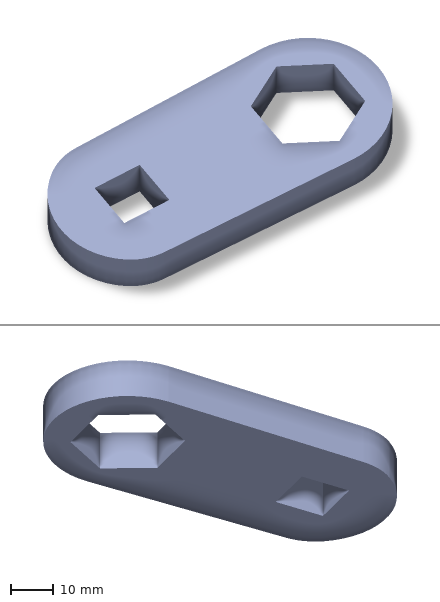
import cadquery as cq
import math

length = 89.9
width = 40.0
thickness = 10.0
square_end_half_width = 19.1
blend_radius = 15.0
hex_across_flats = 23.5
square_side = 12.8

end_radius = width / 2
centre_distance = length - 2 * end_radius
hex_corner_diameter = hex_across_flats / math.cos(math.pi / 6)

taper = math.atan2(end_radius - square_end_half_width, centre_distance)
normal_x = math.cos(taper)
normal_y = -math.sin(taper)

centre_across = square_end_half_width * math.cos(taper) - blend_radius
centre_to_centre = end_radius - blend_radius
centre_along = math.sqrt(centre_to_centre**2 - centre_across**2)
blend_x = centre_across * normal_x + centre_along * normal_y
blend_y = -centre_distance + centre_across * normal_y - centre_along * normal_x

side_end = (blend_x + blend_radius * normal_x, blend_y + blend_radius * normal_y)
end_angle = math.atan2(blend_y + centre_distance, blend_x)
end_start = (
    end_radius * math.cos(end_angle),
    -centre_distance + end_radius * math.sin(end_angle),
)
blend_mid_angle = (end_angle - taper) / 2
blend_mid = (
    blend_x + blend_radius * math.cos(blend_mid_angle),
    blend_y + blend_radius * math.sin(blend_mid_angle),
)


def mirrored(point):
    """Return the matching point on the left half."""
    return (-point[0], point[1])


def make_plate():
    """Tapered plate with a round end at each hole."""
    return (
        cq.Workplane("XY")
        .moveTo(end_radius, 0)
        .lineTo(*side_end)
        .threePointArc(blend_mid, end_start)
        .threePointArc((0, -centre_distance - end_radius), mirrored(end_start))
        .threePointArc(mirrored(blend_mid), mirrored(side_end))
        .lineTo(-end_radius, 0)
        .threePointArc((0, end_radius), (end_radius, 0))
        .close()
        .extrude(thickness)
    )


hex_hole = cq.Workplane("XY").polygon(6, hex_corner_diameter).extrude(thickness)
square_hole = (
    cq.Workplane("XY")
    .center(0, -centre_distance)
    .rect(square_side, square_side)
    .extrude(thickness)
)

result = make_plate().cut(hex_hole).cut(square_hole)